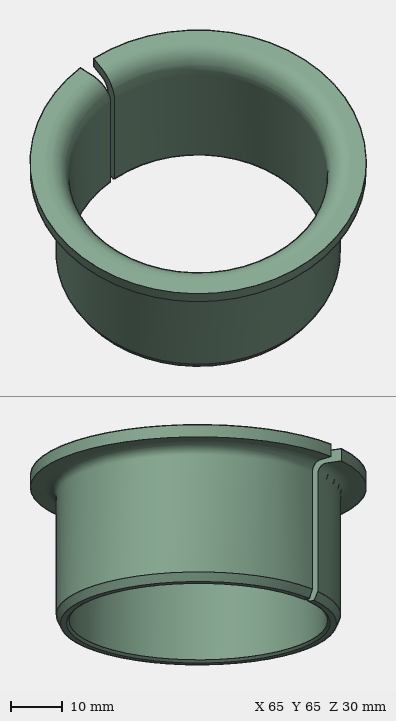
import cadquery as cq
import math

height = 30.0
bore_radius = 25.0
wall = 2.5
flange_radius = 32.5
under_flange_radius = 2.0
mouth_radius = under_flange_radius + wall
lead_in_height = 1.7
lead_in_width = 0.8
bore_chamfer = 0.5

gap_at_bore = 1.0
gap_at_rim = 3.44

sleeve_radius = bore_radius + wall
bend_radius = bore_radius + mouth_radius
flange_underside = height - wall
bend_height = height - mouth_radius


def bend_midpoint(radius):
    """Middle of a quarter bend arc, as (radial distance, height)."""
    offset = radius * math.sqrt(0.5)
    return (bend_radius - offset, bend_height + offset)


def make_sleeve():
    """Revolve the rolled sheet section around Z."""
    section = (
        cq.Workplane("XZ")
        .moveTo(bore_radius + bore_chamfer, 0)
        .lineTo(sleeve_radius - lead_in_width, 0)
        .lineTo(sleeve_radius, lead_in_height)
        .lineTo(sleeve_radius, bend_height)
        .threePointArc(bend_midpoint(under_flange_radius), (bend_radius, flange_underside))
        .lineTo(flange_radius, flange_underside)
        .lineTo(flange_radius, height)
        .lineTo(bend_radius, height)
        .threePointArc(bend_midpoint(mouth_radius), (bore_radius, bend_height))
        .lineTo(bore_radius, bore_chamfer)
        .close()
    )
    sleeve = section.revolve(360, (0, 0), (0, 1))
    return sleeve.rotate((0, 0, 0), (0, 0, 1), 180)


def make_split():
    """Full-height wedge whose point lies inside the bore."""
    spread = (gap_at_rim - gap_at_bore) / (flange_radius - bore_radius)
    point_x = -bore_radius + gap_at_bore / spread
    outer_x = -(flange_radius + wall)
    outer_half_gap = spread * (point_x - outer_x) / 2
    return (
        cq.Workplane("XY")
        .moveTo(point_x, 0)
        .lineTo(outer_x, outer_half_gap)
        .lineTo(outer_x, -outer_half_gap)
        .close()
        .extrude(height)
    )


result = make_sleeve().cut(make_split())